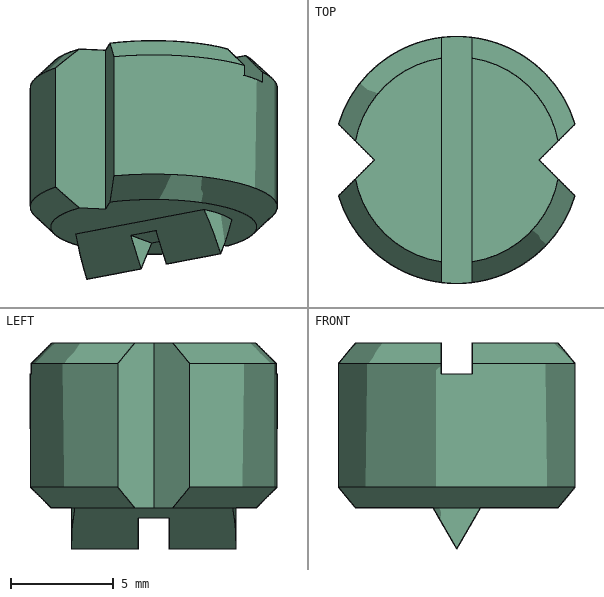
import cadquery as cq
import math

body_radius = 6.0
body_height = 8.0
body_chamfer = 1.0

slot_width = 1.5
slot_depth = 1.5

notch_root_x = 4.0
notch_half_angle = math.radians(45.0)

ridge_radius = 4.0
ridge_height = 2.0
ridge_half_angle = math.radians(30.0)

gap_width = 1.5
gap_depth = 1.5


def make_body():
    """Cylinder standing on Z = 0 with both rims chamfered."""
    cylinder = cq.Workplane("XY").circle(body_radius).extrude(body_height)
    return cylinder.faces("<Z or >Z").edges().chamfer(body_chamfer)


def make_slot():
    """Cutter for the straight slot, across the full top of the body."""
    slot = cq.Workplane("XY").box(
        slot_width, 2 * body_radius, slot_depth, centered=(True, True, False)
    )
    return slot.translate((0, 0, body_height - slot_depth))


def make_notch(side):
    """Full-height V-shaped cutter; side is -1 for -X and +1 for +X."""
    mouth_half_width = (body_radius - notch_root_x) * math.tan(notch_half_angle)
    return (
        cq.Workplane("XY")
        .moveTo(side * notch_root_x, 0)
        .lineTo(side * body_radius, mouth_half_width)
        .lineTo(side * body_radius, -mouth_half_width)
        .close()
        .extrude(body_height)
    )


def make_ridge():
    """Triangular ridge with its edge pointing down, its ends trimmed round and a gap at mid-length."""
    base_half_width = ridge_height * math.tan(ridge_half_angle)
    prism = (
        cq.Workplane("XZ")
        .moveTo(-base_half_width, 0)
        .lineTo(base_half_width, 0)
        .lineTo(0, -ridge_height)
        .close()
        .extrude(ridge_radius, both=True)
    )
    envelope = cq.Workplane("XY").circle(ridge_radius).extrude(-ridge_height)
    gap = cq.Workplane("XY").box(
        2 * base_half_width, gap_width, gap_depth, centered=(True, True, False)
    )
    gap = gap.translate((0, 0, -ridge_height))
    return prism.intersect(envelope).cut(gap)


result = make_body().cut(make_slot())
for notch_side in (-1, 1):
    result = result.cut(make_notch(notch_side))
result = result.union(make_ridge())